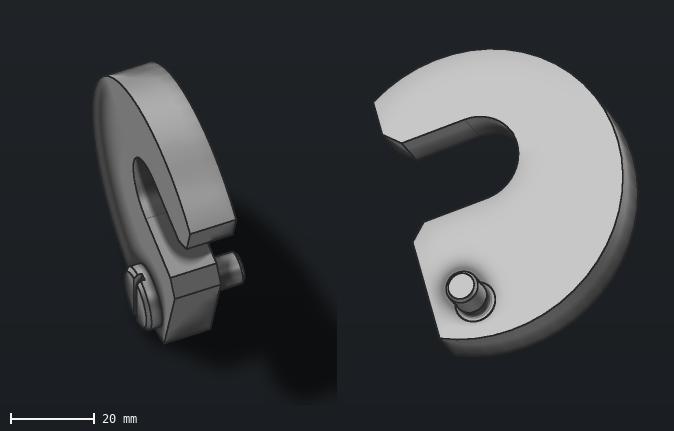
import cadquery as cq
import math

disc_radius = 36.9
plate_thickness = 11.9
tilt = 15.0
flat_offset = 18.0

slot_radius = 10.7
slot_centre_z = 9.0
mouth_chamfer = 4.0

screw_x = 0.1
screw_z = -27.5
head_radius = 8.0
head_height = 3.8
head_chamfer = 0.95
driver_slot_width = 2.0
driver_slot_depth = 2.0
shank_radius = 5.0
shank_protrusion = 0.15
neck_radius = 3.4
neck_fillet = 0.7
neck_end = 2.35
stud_radius = 4.0
stud_taper = 1.0
stud_length = 11.15
stud_chamfer = 0.75


def make_plate():
    """Disc truncated by a sloping flat and opened by a round-ended slot."""
    mouth = flat_offset + slot_centre_z * math.sin(math.radians(tilt))
    beyond = mouth + disc_radius
    outer_half_width = 2 * disc_radius
    flared_half_width = slot_radius + mouth_chamfer

    disc = cq.Workplane("XZ").circle(disc_radius).extrude(-plate_thickness)

    cutter = (
        cq.Workplane("XZ")
        .moveTo(0, slot_radius)
        .lineTo(mouth - mouth_chamfer, slot_radius)
        .lineTo(mouth, flared_half_width)
        .lineTo(mouth, outer_half_width)
        .lineTo(beyond, outer_half_width)
        .lineTo(beyond, -outer_half_width)
        .lineTo(mouth, -outer_half_width)
        .lineTo(mouth, -flared_half_width)
        .lineTo(mouth - mouth_chamfer, -slot_radius)
        .lineTo(0, -slot_radius)
        .threePointArc((-slot_radius, 0), (0, slot_radius))
        .close()
        .extrude(-plate_thickness)
        .rotate((0, 0, 0), (0, 1, 0), tilt)
        .translate((0, 0, slot_centre_z))
    )
    return disc.cut(cutter)


def make_screw():
    """Slotted screw revolved about Y, with its head under-face at y = 0."""
    shank_end = plate_thickness + shank_protrusion
    taper_start = plate_thickness + neck_end
    tip = plate_thickness + stud_length
    fillet_reach = neck_fillet * (1 - math.sqrt(0.5))

    screw = (
        cq.Workplane("XY")
        .moveTo(0, -head_height)
        .lineTo(head_radius - head_chamfer, -head_height)
        .lineTo(head_radius, -head_height + head_chamfer)
        .lineTo(head_radius, 0)
        .lineTo(shank_radius, 0)
        .lineTo(shank_radius, shank_end)
        .lineTo(neck_radius + neck_fillet, shank_end)
        .threePointArc(
            (neck_radius + fillet_reach, shank_end + fillet_reach),
            (neck_radius, shank_end + neck_fillet),
        )
        .lineTo(neck_radius, taper_start)
        .lineTo(stud_radius, taper_start + stud_taper)
        .lineTo(stud_radius, tip - stud_chamfer)
        .lineTo(stud_radius - stud_chamfer, tip)
        .lineTo(0, tip)
        .close()
        .revolve(360, (0, 0, 0), (0, 1, 0))
    )
    driver_slot = (
        cq.Workplane("XY")
        .box(driver_slot_width, driver_slot_depth, 2 * head_radius)
        .translate((0, -head_height + driver_slot_depth / 2, 0))
    )
    return screw.cut(driver_slot).translate((screw_x, 0, screw_z))


result = make_plate().union(make_screw())